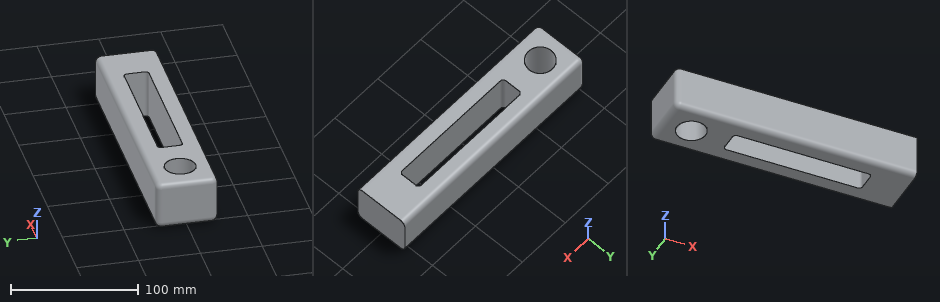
import cadquery as cq

length = 210.0
width = 50.0
height = 40.0
edge_radius = 5.0

hole_diameter = 25.0
hole_x = width / 2

window_length = 120.0
window_width = 20.0
hole_to_window_gap = 20.0
window_start_x = hole_x + hole_diameter / 2 + hole_to_window_gap
window_corner_radius = 3.0


def make_bar():
    """Block with its long edges and the edges of its -X end rounded; the +X end stays square."""
    block = cq.Workplane("XY").box(length, width, height, centered=(False, True, False))
    return block.edges("|X or <X").fillet(edge_radius)


def make_hole():
    """Cylinder that cuts the round hole through the full height."""
    return cq.Workplane("XY").center(hole_x, 0).circle(hole_diameter / 2).extrude(height)


def make_window():
    """Prism with rounded corners that cuts the window through the full height."""
    window_centre_x = window_start_x + window_length / 2
    prism = cq.Workplane("XY").center(window_centre_x, 0).rect(window_length, window_width).extrude(height)
    return prism.edges("|Z").fillet(window_corner_radius)


result = make_bar().cut(make_hole()).cut(make_window())